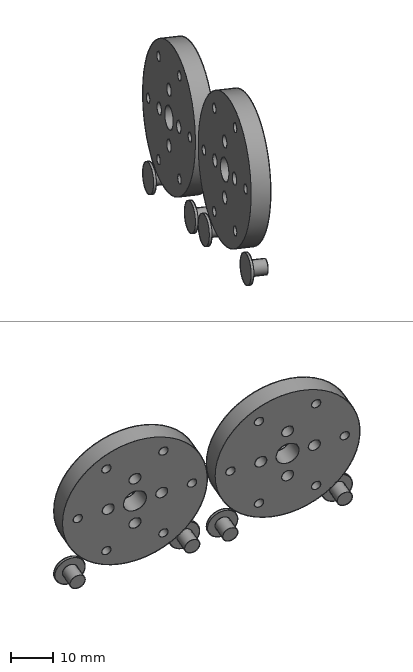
import cadquery as cq

overall_length = 78.1
thickness = 5.0

disc_diameter = 38.0
center_hole_diameter = 6.0
inner_hole_diameter = 3.1
inner_hole_count = 4
inner_circle_radius = 7.0
outer_hole_diameter = 2.4
outer_hole_count = 6
outer_circle_radius = 15.0

head_diameter = 8.0
head_thickness = 0.7
shank_diameter = 4.0
shank_length = thickness - head_thickness

disc_offset = (overall_length - disc_diameter) / 2
pin_offset = (disc_diameter - head_diameter) / 2
pin_drop = 20.1


def front_plane(x, z):
    """Plane on the front face, with its normal pointing back along +Y."""
    return cq.Plane(origin=(x, 0, z), xDir=(1, 0, 0), normal=(0, 1, 0))


def make_disc(x):
    """Disc with a center hole and two rings of through holes."""
    plane = front_plane(x, 0)
    disc = cq.Workplane(plane).circle(disc_diameter / 2).extrude(thickness)
    center_hole = cq.Workplane(plane).circle(center_hole_diameter / 2).extrude(thickness)
    inner_holes = (
        cq.Workplane(plane)
        .polarArray(inner_circle_radius, 0, 360, inner_hole_count)
        .circle(inner_hole_diameter / 2)
        .extrude(thickness)
    )
    outer_holes = (
        cq.Workplane(plane)
        .polarArray(outer_circle_radius, 0, 360, outer_hole_count)
        .circle(outer_hole_diameter / 2)
        .extrude(thickness)
    )
    return disc.cut(center_hole).cut(inner_holes).cut(outer_holes)


def make_pin(x, z):
    """Pin with its head flush with the front of the disc and its shank flush with the back."""
    return (
        cq.Workplane(front_plane(x, z))
        .circle(head_diameter / 2)
        .extrude(head_thickness)
        .faces(">Y")
        .workplane()
        .circle(shank_diameter / 2)
        .extrude(shank_length)
    )


discs = []
pins = []
for disc_x in (-disc_offset, disc_offset):
    discs.append(make_disc(disc_x).val())
    for pin_x in (disc_x - pin_offset, disc_x + pin_offset):
        pins.append(make_pin(pin_x, -pin_drop).val())

result = cq.Compound.makeCompound([*discs, *pins])